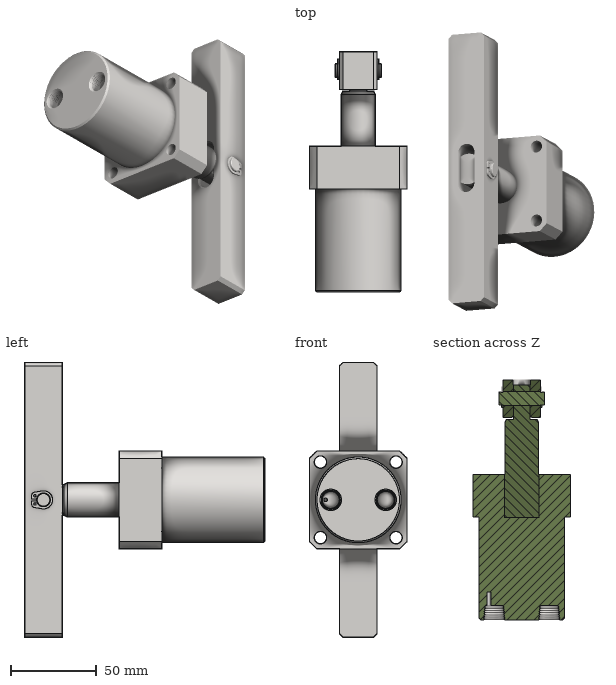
import cadquery as cq
import math


barrel_diameter = 50.0
barrel_length = 60.0
barrel_chamfer = 1.0
flange_side = 57.0
flange_thickness = 25.0
flange_corner_chamfer = 4.3
bolt_hole_spacing = 44.0
bolt_hole_diameter = 7.0

port_offset = 16.0
port_crest_diameter = 11.2
port_thread_depth = 0.6
port_thread_pitch = 1.3
port_thread_turns = 6
port_end_diameter = 10.0
passage_diameter = 2.0
passage_offset = 3.0
passage_depth = 8.0

rod_diameter = 20.0
rod_end_gap = 1.0
rod_chamfer_radial = 1.0
rod_chamfer_axial = 2.0
tongue_thickness = 10.0
tongue_past_pin = 8.0

arm_length = 160.0
arm_width = 22.0
arm_end_chamfer = 2.0
arm_gap = 33.0
slot_width = 10.0
slot_length = 28.6
slot_chamfer = 1.0

pin_diameter = 8.0
pin_overhang = 2.4
pin_chamfer = 0.3
groove_diameter = 7.5
clip_thickness = 1.0
clip_outer_radius = 5.3
clip_lug_reach = 6.9
clip_lug_half_height = 4.2
clip_corner_radius = 2.0
clip_gap = 1.1
clip_hole_diameter = 1.5
clip_hole_reach = 5.0
clip_hole_height = 2.4

barrel_end_y = -barrel_length
port_depth = (port_thread_turns + 0.5) * port_thread_pitch
arm_front_y = flange_thickness + arm_gap
pin_y = arm_front_y + arm_width / 2
rod_end_y = arm_front_y - rod_end_gap
tongue_end_y = pin_y + tongue_past_pin
pin_length = arm_width + 2 * pin_overhang
clip_start_positions = (-arm_width / 2 - clip_thickness, arm_width / 2)


def y_cylinder(diameter, start_y, end_y, x=0, z=0):
    """Cylinder parallel to Y from start_y to end_y."""
    start = cq.Vector(x, start_y, z)
    solid = cq.Solid.makeCylinder(diameter / 2, end_y - start_y, start, cq.Vector(0, 1, 0))
    return cq.Workplane(obj=solid)


def x_cylinder(diameter, length):
    """Cylinder along the pivot axis, centred on X = 0."""
    start = cq.Vector(-length / 2, pin_y, 0)
    solid = cq.Solid.makeCylinder(diameter / 2, length, start, cq.Vector(1, 0, 0))
    return cq.Workplane(obj=solid)


def make_port(x):
    """Cutter for one port: ring-shaped V threads that taper towards the bottom."""
    mouth_radius = port_crest_diameter / 2
    taper = (port_crest_diameter - port_end_diameter) / 2 / port_thread_turns
    profile = cq.Workplane("XY", origin=(x, barrel_end_y, 0)).lineTo(mouth_radius + port_thread_depth, 0)
    for turn in range(port_thread_turns):
        crest_radius = mouth_radius - taper * (turn + 0.5)
        root_radius = mouth_radius - taper * (turn + 1) + port_thread_depth
        profile = profile.lineTo(crest_radius, (turn + 0.5) * port_thread_pitch)
        profile = profile.lineTo(root_radius, (turn + 1) * port_thread_pitch)
    profile = profile.lineTo(port_end_diameter / 2, port_depth).lineTo(0, port_depth).close()
    return profile.revolve(360, (0, 0, 0), (0, 1, 0))


def make_housing():
    """Flange and barrel in one piece, with bolt holes, ports, passage and rod bore."""
    flange = (
        cq.Workplane("XZ")
        .rect(flange_side, flange_side)
        .extrude(-flange_thickness)
        .edges("|Y")
        .chamfer(flange_corner_chamfer)
    )
    barrel = y_cylinder(barrel_diameter, barrel_end_y, 0).faces("<Y").chamfer(barrel_chamfer)
    housing = flange.union(barrel)
    for x in (-bolt_hole_spacing / 2, bolt_hole_spacing / 2):
        for z in (-bolt_hole_spacing / 2, bolt_hole_spacing / 2):
            housing = housing.cut(y_cylinder(bolt_hole_diameter, 0, flange_thickness, x, z))
    for x in (-port_offset, port_offset):
        housing = housing.cut(make_port(x))
    port_bottom_y = barrel_end_y + port_depth
    passage_x = -port_offset - passage_offset
    housing = housing.cut(
        y_cylinder(passage_diameter, port_bottom_y, port_bottom_y + passage_depth, passage_x)
    )
    return housing.cut(y_cylinder(rod_diameter, 0, flange_thickness))


def make_piston_rod():
    """Chamfered rod whose tip continues as a flat-sided tongue, cross-drilled for the pin."""
    tip_diameter = rod_diameter - 2 * rod_chamfer_radial
    shank = (
        y_cylinder(rod_diameter, 0, rod_end_y)
        .faces(">Y")
        .chamfer(rod_chamfer_axial, rod_chamfer_radial)
    )
    tongue_length = tongue_end_y - rod_end_y
    flats = cq.Workplane("XY").box(tongue_thickness, tongue_length, rod_diameter).translate(
        (0, rod_end_y + tongue_length / 2, 0)
    )
    tongue = y_cylinder(tip_diameter, rod_end_y, tongue_end_y).intersect(flats)
    return shank.union(tongue).cut(x_cylinder(pin_diameter, arm_width))


def make_arm():
    """Square bar with a through slot for the tongue, its mouth flared on the rod side."""
    arm = (
        cq.Workplane("XY", origin=(0, pin_y, 0))
        .box(arm_width, arm_width, arm_length)
        .edges("|Y")
        .chamfer(arm_end_chamfer)
    )
    slot = (
        cq.Workplane("XZ", origin=(0, arm_front_y, 0))
        .slot2D(slot_length, slot_width, 90)
        .extrude(-arm_width)
    )
    slot_mouth = (
        cq.Workplane("XZ", origin=(0, arm_front_y, 0))
        .slot2D(slot_length + 2 * slot_chamfer, slot_width + 2 * slot_chamfer, 90)
        .extrude(-slot_chamfer, taper=45)
    )
    return arm.cut(slot).cut(slot_mouth).cut(x_cylinder(pin_diameter, arm_width))


def make_pin():
    """Chamfered pin with a groove for a clip on each side of the arm."""
    pin = x_cylinder(pin_diameter, pin_length).faces("<X or >X").chamfer(pin_chamfer)
    for start_x in clip_start_positions:
        groove = (
            cq.Workplane("YZ", origin=(start_x, pin_y, 0))
            .circle(pin_diameter)
            .circle(groove_diameter / 2)
            .extrude(clip_thickness)
        )
        pin = pin.cut(groove)
    return pin


def make_clip(start_x):
    """Open retaining ring with two eyed lugs towards +Y."""
    plane = cq.Workplane("YZ", origin=(start_x, pin_y, 0))
    corner_distance = math.hypot(clip_lug_reach, clip_lug_half_height)
    corner_angle = math.atan2(clip_lug_half_height, clip_lug_reach)
    tangent_angle = corner_angle + math.acos(clip_outer_radius / corner_distance)
    tangent_y = clip_outer_radius * math.cos(tangent_angle)
    tangent_z = clip_outer_radius * math.sin(tangent_angle)
    clip = (
        plane.moveTo(tangent_y, tangent_z)
        .threePointArc((-clip_outer_radius, 0), (tangent_y, -tangent_z))
        .lineTo(clip_lug_reach, -clip_lug_half_height)
        .lineTo(clip_lug_reach, clip_lug_half_height)
        .close()
        .extrude(clip_thickness)
        .edges("|X and >Y")
        .fillet(clip_corner_radius)
    )
    bore = plane.circle(groove_diameter / 2).extrude(clip_thickness)
    gap = plane.center(clip_lug_reach / 2, 0).rect(clip_lug_reach, clip_gap).extrude(clip_thickness)
    eyes = (
        plane.pushPoints([(clip_hole_reach, -clip_hole_height), (clip_hole_reach, clip_hole_height)])
        .circle(clip_hole_diameter / 2)
        .extrude(clip_thickness)
    )
    return clip.cut(bore).cut(gap).cut(eyes)


housing = make_housing()
piston_rod = make_piston_rod()
arm = make_arm()
pin = make_pin()
clips = [make_clip(start_x) for start_x in clip_start_positions]

result = cq.Compound.makeCompound(
    [housing.val(), piston_rod.val(), arm.val(), pin.val(), *[clip.val() for clip in clips]]
)